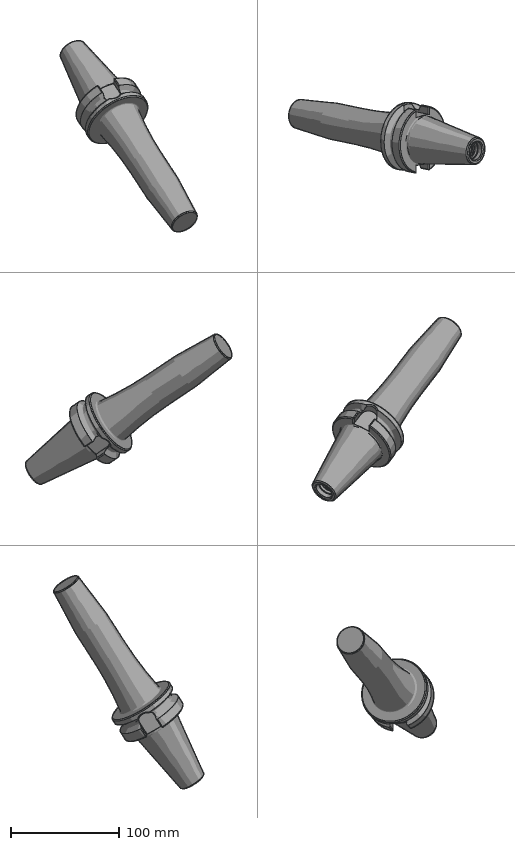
import cadquery as cq
import math

gauge_radius = 44.45 / 2
taper_slope = 7 / 48
shank_length = 65.4
tail_chamfer = 1.0

collar_radius = gauge_radius
collar_start = -1.3
collar_lead_in = 0.6
collar_fillet = 1.0

flange_radius = 31.5
flange_back = 2.0
flange_front = 27.0
flange_chamfer = 1.0
groove_center = 16.7
groove_floor_width = 4.0
groove_floor_radius = 26.4
groove_fillet = 0.7
groove_half_angle = math.radians(30)

slot_width = 16.1
slot_floor = 22.8
slot_end = 23.1
slot_chamfer = 1.1

nose_tip = 160.0
nose_tip_radius = 13.5
nose_radius = 17.0
nose_taper_angle = math.radians(4.5)
nose_chamfer_length = 1.0
nose_chamfer_depth = 0.7
neck_start = 28.7
neck_end = 82.0
neck_start_radius = 21.1
neck_fillet = neck_start - flange_front

bore_mouth_radius = 9.5
bore_steps = [(8.5, 5.5), (8.0, 8.9), (7.2, 11.5), (6.6, 32.0)]
drill_point_angle = math.radians(60)

radius_tolerance = 1e-3
tail = -shank_length


def taper_radius(x):
    """Radius of the shank taper at position x."""
    return gauge_radius + x * taper_slope


def body_of_revolution():
    """Shank, collar, grooved flange and nose as one solid turned about X."""
    wall_length = (flange_radius - groove_floor_radius) * math.tan(groove_half_angle)
    groove_back = groove_center - groove_floor_width / 2
    groove_front = groove_center + groove_floor_width / 2
    nose_taper_start = nose_tip - (nose_radius - nose_tip_radius) / math.tan(nose_taper_angle)
    chamfer_start = nose_tip - nose_chamfer_length
    chamfer_start_radius = nose_tip_radius + nose_chamfer_length * math.tan(nose_taper_angle)

    neck_length = neck_end - neck_start
    neck_rise = neck_start_radius - nose_radius
    neck_arc_radius = (neck_length**2 + neck_rise**2) / (2 * neck_rise)
    neck_middle = (neck_start + neck_end) / 2
    neck_middle_radius = nose_radius + neck_arc_radius - math.sqrt(
        neck_arc_radius**2 - (neck_length / 2) ** 2
    )

    profile = (
        cq.Workplane("XY")
        .moveTo(tail, 0)
        .lineTo(tail, taper_radius(tail) - tail_chamfer)
        .lineTo(tail + tail_chamfer, taper_radius(tail + tail_chamfer))
        .lineTo(collar_start, taper_radius(collar_start))
        .lineTo(collar_start + collar_lead_in, collar_radius)
        .lineTo(flange_back - collar_fillet, collar_radius)
        .radiusArc((flange_back, collar_radius + collar_fillet), -collar_fillet)
        .lineTo(flange_back, flange_radius - flange_chamfer)
        .lineTo(flange_back + flange_chamfer, flange_radius)
        .lineTo(groove_back - wall_length, flange_radius)
        .lineTo(groove_back, groove_floor_radius)
        .lineTo(groove_front, groove_floor_radius)
        .lineTo(groove_front + wall_length, flange_radius)
        .lineTo(flange_front - flange_chamfer, flange_radius)
        .lineTo(flange_front, flange_radius - flange_chamfer)
        .lineTo(flange_front, neck_start_radius + neck_fillet)
        .radiusArc((neck_start, neck_start_radius), -neck_fillet)
        .threePointArc((neck_middle, neck_middle_radius), (neck_end, nose_radius))
        .lineTo(nose_taper_start, nose_radius)
        .lineTo(chamfer_start, chamfer_start_radius)
        .lineTo(nose_tip, nose_tip_radius - nose_chamfer_depth)
        .lineTo(nose_tip, 0)
        .close()
    )
    body = profile.revolve(360, (0, 0, 0), (1, 0, 0))
    groove_floor_edges = [
        edge
        for edge in body.edges("%CIRCLE").vals()
        if abs(edge.radius() - groove_floor_radius) < radius_tolerance
    ]
    return body.newObject(groove_floor_edges).fillet(groove_fillet)


def drive_slot():
    """Round-ended slot through the flange on the +Z side, chamfered at its open end."""
    half_width = slot_width / 2
    outline = (
        cq.Workplane("XY", origin=(0, 0, slot_floor))
        .moveTo(flange_back, half_width + slot_chamfer)
        .lineTo(flange_back + slot_chamfer, half_width)
        .lineTo(slot_end - half_width, half_width)
        .threePointArc((slot_end, 0), (slot_end - half_width, -half_width))
        .lineTo(flange_back + slot_chamfer, -half_width)
        .lineTo(flange_back, -half_width - slot_chamfer)
        .close()
    )
    return outline.extrude(flange_radius - slot_floor)


def retention_bore():
    """Blind bore narrowing in steps, each entered by a 45 degree cone, with a drill point."""
    profile = cq.Workplane("XY").moveTo(tail, 0).lineTo(tail, bore_mouth_radius)
    entry = tail
    entry_radius = bore_mouth_radius
    for radius, depth in bore_steps:
        profile = profile.lineTo(entry + entry_radius - radius, radius)
        profile = profile.lineTo(tail + depth, radius)
        entry = tail + depth
        entry_radius = radius
    point_length = entry_radius / math.tan(drill_point_angle)
    profile = profile.lineTo(entry + point_length, 0).close()
    return profile.revolve(360, (0, 0, 0), (1, 0, 0))


def chamfer_slot_rim(body, side):
    """Chamfer the edges where a slot breaks through the flange rim; side is +1 or -1 along Z."""
    half_width = slot_width / 2
    rim_height = math.sqrt(flange_radius**2 - half_width**2)
    straight_middle = (flange_back + groove_center) / 2
    rim_points = [
        (straight_middle, half_width, side * rim_height),
        (straight_middle, -half_width, side * rim_height),
        (slot_end, 0, side * flange_radius),
    ]
    rim_edges = []
    for point in rim_points:
        rim_edges += body.edges(cq.selectors.NearestToPointSelector(point)).vals()
    return body.newObject(rim_edges).chamfer(slot_chamfer)


slot = drive_slot()
opposite_slot = slot.rotate((0, 0, 0), (1, 0, 0), 180)
holder = body_of_revolution().cut(slot).cut(opposite_slot)
for side in (1, -1):
    holder = chamfer_slot_rim(holder, side)
result = holder.cut(retention_bore())